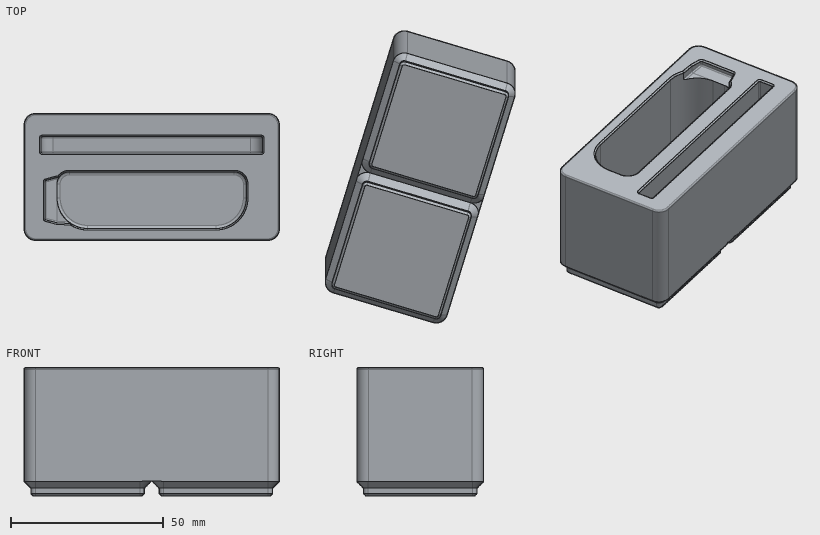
import cadquery as cq
import math

CELL = 42.0
CELL_COUNT = 2
LENGTH = 83.5
WIDTH = 41.5
HEIGHT = 42.0
CORNER_RADIUS = 3.75
TOP_EDGE_RADIUS = 0.5

FOOT_LOWER_BEVEL = 0.8
FOOT_BAND = 1.75
FOOT_UPPER_BEVEL = 2.4
FOOT_HEIGHT = FOOT_LOWER_BEVEL + FOOT_BAND + FOOT_UPPER_BEVEL
FOOT_BAND_SIDE = CELL - 2 * FOOT_UPPER_BEVEL
FOOT_BAND_RADIUS = 1.5
BEVEL_ANGLE = 45

RECESS_DEPTH = 30.1
RIM_CHAMFER = 0.5
SMALL_FILLET = 0.5

SLOT_LENGTH = 72.5
SLOT_WIDTH = 5.35
SLOT_CENTER_Y = 10.5
SLOT_END_RADIUS = 4.0

POCKET_LENGTH = 61.95
POCKET_WIDTH = 18.5
POCKET_BACK_Y = 1.7
POCKET_CENTER_Y = POCKET_BACK_Y - POCKET_WIDTH / 2
POCKET_BACK_RADIUS = 4.0
POCKET_FRONT_RADIUS = 10.0
POCKET_FLOOR_FILLET = 1.0

NOTCH_END_X = -35.0
NOTCH_BEND_X = -POCKET_LENGTH / 2
NOTCH_INNER_X = -24.2
NOTCH_END_HALF_WIDTH = 6.35
NOTCH_END_DEPTH = 2.0
NOTCH_STEEP_ANGLE = 15
NOTCH_SLIGHT_ANGLE = 3


def rounded_rectangle(length, width, radius, base_z):
    sketch = cq.Sketch().rect(length, width).vertices().fillet(radius)
    return cq.Workplane("XY", origin=(0, 0, base_z)).placeSketch(sketch)


def make_foot():
    band = rounded_rectangle(FOOT_BAND_SIDE, FOOT_BAND_SIDE, FOOT_BAND_RADIUS, FOOT_LOWER_BEVEL)
    lower_bevel = band.extrude(-FOOT_LOWER_BEVEL, taper=BEVEL_ANGLE)
    upper_bevel = band.extrude(FOOT_UPPER_BEVEL, taper=-BEVEL_ANGLE).translate((0, 0, FOOT_BAND))
    return band.extrude(FOOT_BAND).union(lower_bevel).union(upper_bevel)


def make_block():
    block = rounded_rectangle(LENGTH, WIDTH, CORNER_RADIUS, FOOT_HEIGHT).extrude(HEIGHT - FOOT_HEIGHT)
    envelope = rounded_rectangle(LENGTH, WIDTH, CORNER_RADIUS, 0).extrude(HEIGHT)
    foot = make_foot()
    for index in range(CELL_COUNT):
        center_x = (index - (CELL_COUNT - 1) / 2) * CELL
        block = block.union(foot.translate((center_x, 0, 0)).intersect(envelope))
    return block.faces(">Z").edges().fillet(TOP_EDGE_RADIUS)


def make_slot():
    return (
        cq.Workplane("XY")
        .box(SLOT_LENGTH, SLOT_WIDTH, RECESS_DEPTH)
        .translate((0, SLOT_CENTER_Y, HEIGHT - RECESS_DEPTH / 2))
        .faces("<Z")
        .edges("|Y")
        .fillet(SLOT_END_RADIUS)
        .faces("<Y or >Y")
        .edges("not >Z")
        .fillet(SMALL_FILLET)
    )


def make_pocket():
    return (
        cq.Workplane("XY")
        .box(POCKET_LENGTH, POCKET_WIDTH, RECESS_DEPTH)
        .translate((0, POCKET_CENTER_Y, HEIGHT - RECESS_DEPTH / 2))
        .edges("|Z and >Y")
        .fillet(POCKET_BACK_RADIUS)
        .edges("|Z and <Y")
        .fillet(POCKET_FRONT_RADIUS)
        .faces("<Z")
        .edges()
        .fillet(POCKET_FLOOR_FILLET)
    )


def make_notch():
    bend_spread = (NOTCH_BEND_X - NOTCH_END_X) * math.tan(math.radians(NOTCH_STEEP_ANGLE))
    inner_spread = bend_spread + (NOTCH_INNER_X - NOTCH_BEND_X) * math.tan(math.radians(NOTCH_SLIGHT_ANGLE))
    stations = [(NOTCH_END_X, 0), (NOTCH_BEND_X, bend_spread), (NOTCH_INNER_X, inner_spread)]

    back_side = [(x, POCKET_CENTER_Y + NOTCH_END_HALF_WIDTH + spread) for x, spread in stations]
    front_side = [(x, POCKET_CENTER_Y - NOTCH_END_HALF_WIDTH - spread) for x, spread in stations]
    plan = (
        cq.Workplane("XY", origin=(0, 0, HEIGHT))
        .polyline(back_side + front_side[::-1])
        .close()
        .extrude(-RECESS_DEPTH)
    )

    floor = [(x, HEIGHT - NOTCH_END_DEPTH - spread) for x, spread in stations]
    profile = (
        cq.Workplane("XZ")
        .polyline([(NOTCH_END_X, HEIGHT)] + floor + [(NOTCH_INNER_X, HEIGHT)])
        .close()
        .extrude(WIDTH, both=True)
    )
    notch = plan.intersect(profile)
    return (
        notch.edges("<X and |Z")
        .fillet(SMALL_FILLET)
        .edges("not(|Z or >Z)")
        .edges("<X or (not |Y)")
        .fillet(SMALL_FILLET)
    )


def with_rim(recess):
    """Adds the flared rim that chamfers the mouth of a recess."""
    mouth = recess.faces(">Z").wires().toPending()
    rim = mouth.extrude(RIM_CHAMFER, taper=-BEVEL_ANGLE, combine=False).translate((0, 0, -RIM_CHAMFER))
    return recess.union(rim)


result = make_block()
for recess in (make_slot(), make_pocket(), make_notch()):
    result = result.cut(with_rim(recess))